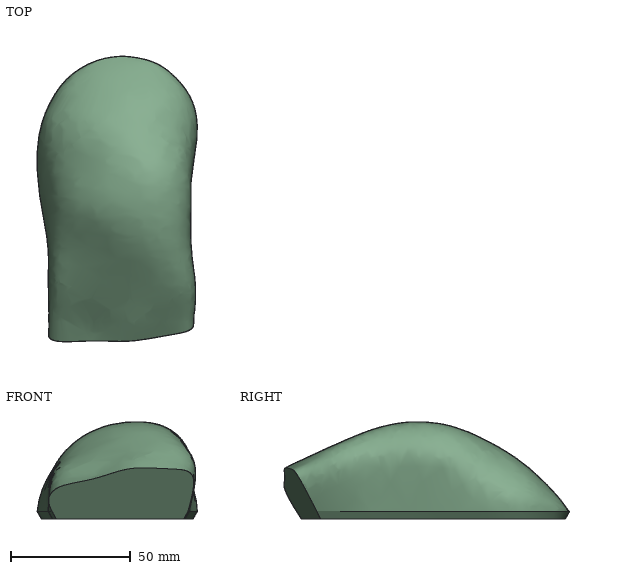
import cadquery as cq
import math

length = 119.3
rim_height = 3.2
nose = cq.Vector(2.1, length, rim_height)

band_angle = 30.0
band_inset = rim_height * math.tan(math.radians(band_angle))
band_points = 30

front_corner = (-26.2, 7.2, 0)
front_lean = 29.0
front_skew = 8.5

neck_sections = [
    (-3.6, -28.2, 29.5, [(-28.9, 7.2), (-26.5, 10.7), (-15.2, 15.2), (0.7, 18.6),
                         (25.2, 18.4), (31.9, 17.1), (32.7, 11.8)]),
    (17.3, -28.5, 29.8, [(-28.5, 10.0), (-26.5, 17.0), (-15.2, 22.5), (4.7, 27.9),
                         (25.2, 27.9), (31.1, 24.1), (32.5, 14.3)]),
    (31.6, -28.8, 30.2, [(-28.4, 12.5), (-26.2, 20.3), (-15.2, 27.3), (6.5, 34.6),
                         (23.7, 33.8), (30.2, 28.0), (31.7, 17.3)]),
    (46.0, -29.8, 29.8, [(-28.8, 13.6), (-25.9, 22.0), (-15.2, 31.9), (7.5, 39.7),
                         (22.7, 36.7), (29.5, 28.8), (30.7, 17.3)]),
    (60.4, -32.3, 30.2, [(-29.5, 14.3), (-25.9, 22.7), (-15.2, 33.9), (7.2, 40.6),
                         (21.6, 37.5), (29.2, 29.3), (30.9, 17.3)]),
    (74.8, -33.5, 32.0, [(-30.4, 14.3), (-26.8, 20.9), (-15.2, 30.7), (4.7, 37.2),
                         (20.9, 33.8), (28.4, 25.9), (31.3, 15.2)]),
]

heel_sections = [
    (89.1, -32.1, 33.5, 30.4),
    (99.9, -28.0, 31.6, 23.4),
    (107.1, -23.4, 27.3, 17.1),
    (114.3, -15.2, 19.8, 9.5),
    (117.5, -8.4, 13.1, 5.4),
]
arch_divisions = 8


def section_arch(y, left, right, arch):
    points = [(left, rim_height)] + arch + [(right, rim_height)]
    return cq.Edge.makeSpline([cq.Vector(x, y, z) for x, z in points])


def half_ellipse(left, right, crown):
    middle = (left + right) / 2
    half_width = (right - left) / 2
    rise = crown - rim_height
    arch = []
    for division in range(1, arch_divisions):
        turn = math.pi * division / arch_divisions
        arch.append((middle - half_width * math.cos(turn), rim_height + rise * math.sin(turn)))
    return arch


def bottom_edge(rim):
    """Offset one side of the rim inward by the band inset, on the bottom plane."""
    start = rim.startPoint()
    inward = -1 if start.x > 0 else 1
    points = [cq.Vector(start.x + inward * band_inset, start.y, 0)]
    for step in range(1, band_points):
        point = rim.positionAt(step / band_points)
        along = rim.tangentAt(step / band_points)
        x = point.x + inward * band_inset * along.y
        y = point.y - inward * band_inset * along.x
        points.append(cq.Vector(x, y, 0))
    points.append(cq.Vector(nose.x, nose.y - band_inset, 0))
    return cq.Edge.makeSpline(points)


arches = [section_arch(*section) for section in neck_sections]
for y, left, right, crown in heel_sections:
    arches.append(section_arch(y, left, right, half_ellipse(left, right, crown)))
nose_vertex = cq.Vertex.makeVertex(*nose.toTuple())
loft = cq.occ_impl.shapes.loft
dome = loft(*arches, nose_vertex, parametrization="chordal")

rims = []
for edge in dome.Edges():
    runs_to_nose = edge.endPoint().y > length / 2
    if runs_to_nose:
        rims.append(edge)
    else:
        front_arch = edge
lowers = [bottom_edge(rim) for rim in rims]
bands = [loft(rim, lower, ruled=True) for rim, lower in zip(rims, lowers)]

sill = cq.Edge.makeLine(lowers[0].startPoint(), lowers[1].startPoint())
bottom = cq.Face.makeFromWires(cq.Wire.assembleEdges(lowers + [sill]))
posts = [cq.Edge.makeLine(rim.startPoint(), lower.startPoint()) for rim, lower in zip(rims, lowers)]
front_cap = cq.Face.makeFromWires(cq.Wire.combine([front_arch, sill] + posts)[0])

body = cq.Workplane(cq.occ_impl.shapes.solid(dome, bottom, front_cap, *bands))

lean = math.tan(math.radians(front_lean))
skew = math.tan(math.radians(front_skew))
front_plane = cq.Plane(origin=front_corner, xDir=(1, skew, 0), normal=(-skew, 1, lean))
behind_front = cq.Workplane(front_plane).rect(3 * length, 3 * length).extrude(2 * length)
result = body.intersect(behind_front)